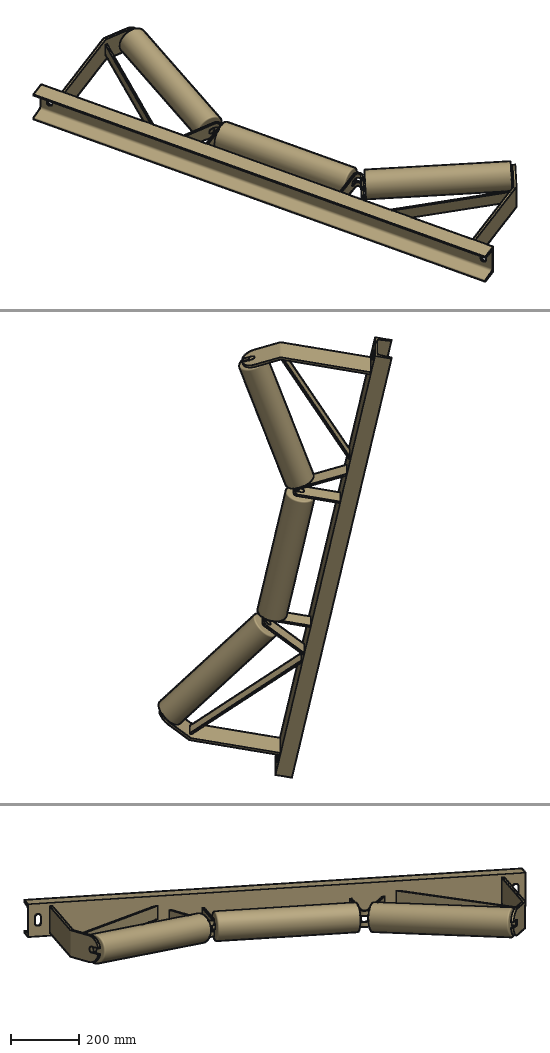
import cadquery as cq
import math


BEAM_LENGTH = 1500.0
BEAM_HEIGHT = 100.0
BEAM_DEPTH = 50.0
WEB_THICKNESS = 6.0
FLANGE_ROOT = 10.0
FLANGE_TIP = 6.8
ROOT_RADIUS = 8.0
TIP_RADIUS = 3.8
MOUNT_SLOT_LENGTH = 36.0
MOUNT_SLOT_WIDTH = 18.0
MOUNT_SLOT_INSET = 30.0

TROUGH_ANGLE = math.radians(30)
ROLLER_DIAMETER = 88.0
ROLLER_LENGTH = 430.0
ROLLER_EDGE_RADIUS = 5.0
SHAFT_DIAMETER = 18.0
CENTRE_AXIS_Y = 117.0
CENTRE_AXIS_Z = -20.0

SEAT_OVERRUN = 15.0
SEAT_DEPTH = 60.0

OUTER_HEIGHT = 81.0
OUTER_THICKNESS = 8.2
OUTER_FACE_X = 685.0
OUTER_BEND_Y = 270.0
OUTER_ARM_LENGTH = 120.0
OUTER_SEAT_DISTANCE = 90.0
OUTER_BEND_RADIUS = 2.0

INNER_HEIGHT = 50.0
INNER_THICKNESS = 6.0
INNER_FACE_X = 219.0
INNER_FOOT_X = 321.0
INNER_BEND_RADIUS = 9.0

BRACE_THICKNESS = 6.0
BRACE_HEIGHT = 40.0
BRACE_FOOT_X = 365.0
BRACE_TOP_Y = 270.0

SIN = math.sin(TROUGH_ANGLE)
COS = math.cos(TROUGH_ANGLE)

ARM = cq.Vector(SIN, COS, 0)
OUTWARD = cq.Vector(-COS, SIN, 0)

OUTER_BEND = cq.Vector(-OUTER_FACE_X, OUTER_BEND_Y, 0)
INNER_FOOT = cq.Vector(-INNER_FOOT_X, 0, 0)
OUTER_SEAT = OUTER_BEND + ARM * OUTER_SEAT_DISTANCE
LEVEL_SPAN = (OUTER_SEAT - INNER_FOOT).dot(OUTWARD) + INNER_THICKNESS / 2
INNER_SEAT = OUTER_SEAT - OUTWARD * LEVEL_SPAN + cq.Vector(0, 0, CENTRE_AXIS_Z)
WING_SHAFT = OUTER_SEAT - INNER_SEAT
WING_SPAN = WING_SHAFT.Length
WING_FRAME = cq.Plane(origin=(OUTER_SEAT + INNER_SEAT) * 0.5, xDir=ARM, normal=WING_SHAFT)

CENTRE_FRAME = cq.Plane(origin=(0, CENTRE_AXIS_Y, CENTRE_AXIS_Z), xDir=(0, 1, 0), normal=(1, 0, 0))
CENTRE_SPAN = 2 * (INNER_FACE_X + INNER_THICKNESS)


def edge_at(x, y, z):
    """Selector for the edge whose middle is nearest to a point."""
    return cq.selectors.NearestToPointSelector((x, y, z))


def make_beam():
    """C-channel with tapered flanges, opening toward -Y, and a mounting slot at each end."""
    half = BEAM_HEIGHT / 2
    outline = [
        (0, -half),
        (0, half),
        (-BEAM_DEPTH, half),
        (-BEAM_DEPTH, half - FLANGE_TIP),
        (-WEB_THICKNESS, half - FLANGE_ROOT),
        (-WEB_THICKNESS, FLANGE_ROOT - half),
        (-BEAM_DEPTH, FLANGE_TIP - half),
        (-BEAM_DEPTH, -half),
    ]
    beam = (
        cq.Workplane("YZ", origin=(-BEAM_LENGTH / 2, 0, 0))
        .polyline(outline)
        .close()
        .extrude(BEAM_LENGTH)
    )
    for side in (-1, 1):
        root = edge_at(0, -WEB_THICKNESS, side * (half - FLANGE_ROOT))
        beam = beam.edges("|X").edges(root).fillet(ROOT_RADIUS)
        tip = edge_at(0, -BEAM_DEPTH, side * (half - FLANGE_TIP))
        beam = beam.edges("|X").edges(tip).fillet(TIP_RADIUS)
    slot_x = BEAM_LENGTH / 2 - MOUNT_SLOT_INSET
    slots = (
        cq.Workplane("XZ")
        .pushPoints([(-slot_x, 0), (slot_x, 0)])
        .slot2D(MOUNT_SLOT_LENGTH, MOUNT_SLOT_WIDTH, 90)
        .extrude(BEAM_DEPTH)
    )
    return beam.cut(slots)


def make_rod(frame, diameter, length):
    """Cylinder centred on the frame, along its normal."""
    return cq.Workplane(frame).workplane(offset=-length / 2).circle(diameter / 2).extrude(length)


def make_roller(frame, shaft_span):
    """Roller with rounded end edges on a shaft that sticks out at both ends."""
    shell = make_rod(frame, ROLLER_DIAMETER, ROLLER_LENGTH).edges("%CIRCLE").fillet(ROLLER_EDGE_RADIUS)
    return shell.union(make_rod(frame, SHAFT_DIAMETER, shaft_span))


def make_seat_cutter(frame, shaft_span):
    """Both shaft seats of one roller: round at the shaft and open along the frame's X."""
    reach = shaft_span + 2 * SEAT_OVERRUN
    opening = (
        cq.Workplane(frame)
        .workplane(offset=-reach / 2)
        .center(SEAT_DEPTH / 2, 0)
        .rect(SEAT_DEPTH, SHAFT_DIAMETER)
        .extrude(reach)
    )
    return make_rod(frame, SHAFT_DIAMETER, reach).union(opening)


def make_strap(outside, inside, bend_radius, thickness, height, middle_z):
    """Upright strap with one bend; each side is given as its foot, bend corner and end."""
    strap = (
        cq.Workplane("XY", origin=(0, 0, middle_z - height / 2))
        .polyline(outside + inside[::-1])
        .close()
        .extrude(height)
    )
    for side, radius in ((outside, bend_radius + thickness), (inside, bend_radius)):
        corner = edge_at(*side[1], middle_z)
        strap = strap.edges("|Z").edges(corner).fillet(radius)
    return strap


def make_outer_bracket(seats):
    """Strap that bends toward the wing roller, with a round end and an open shaft seat."""
    tip = OUTER_BEND + ARM * OUTER_ARM_LENGTH
    inner_tip = tip - OUTWARD * OUTER_THICKNESS
    inside_x = OUTER_THICKNESS - OUTER_FACE_X
    inside_bend_y = OUTER_BEND_Y - OUTER_THICKNESS * math.tan(TROUGH_ANGLE / 2)
    strap = make_strap(
        [(-OUTER_FACE_X, 0), (-OUTER_FACE_X, OUTER_BEND_Y), (tip.x, tip.y)],
        [(inside_x, 0), (inside_x, inside_bend_y), (inner_tip.x, inner_tip.y)],
        OUTER_BEND_RADIUS,
        OUTER_THICKNESS,
        OUTER_HEIGHT,
        0,
    )
    radius = OUTER_HEIGHT / 2
    end_frame = cq.Plane(origin=inner_tip - ARM * radius, xDir=ARM, normal=OUTWARD)
    end_block = (
        cq.Workplane(end_frame)
        .center(radius / 2, 0)
        .rect(radius, OUTER_HEIGHT)
        .extrude(OUTER_THICKNESS)
    )
    end_disc = cq.Workplane(end_frame).circle(radius).extrude(OUTER_THICKNESS)
    return strap.cut(end_block.cut(end_disc)).cut(seats)


def make_inner_bracket(wing_seats, centre_seats):
    """Strap folded into an upright leg and a leaning leg, with a shaft seat in each."""
    outer_x = -INNER_FACE_X
    inner_x = outer_x - INNER_THICKNESS
    outer_foot_x = -INNER_FOOT_X - INNER_THICKNESS / 2 / COS
    inner_foot_x = -INNER_FOOT_X + INNER_THICKNESS / 2 / COS
    slope = COS / SIN
    strap = make_strap(
        [(outer_foot_x, 0), (outer_x, (outer_x - outer_foot_x) * slope), (outer_x, 0)],
        [(inner_foot_x, 0), (inner_x, (inner_x - inner_foot_x) * slope), (inner_x, 0)],
        INNER_BEND_RADIUS,
        INNER_THICKNESS,
        INNER_HEIGHT,
        CENTRE_AXIS_Z,
    )
    return strap.cut(wing_seats).cut(centre_seats)


def make_brace(outer_bracket):
    """Flat diagonal strip from the beam to the bend of the outer bracket, fitted against it."""
    top_x = OUTER_THICKNESS - OUTER_FACE_X
    angle = math.atan2(BRACE_TOP_Y, -BRACE_FOOT_X - top_x)
    foot_half_width = BRACE_THICKNESS / 2 / math.sin(angle)
    top_half_width = BRACE_THICKNESS / 2 / math.cos(angle)
    outline = [
        (-BRACE_FOOT_X - foot_half_width, 0),
        (-BRACE_FOOT_X + foot_half_width, 0),
        (top_x, BRACE_TOP_Y + top_half_width),
        (top_x, BRACE_TOP_Y - top_half_width),
    ]
    brace = (
        cq.Workplane("XY", origin=(0, 0, -BRACE_HEIGHT / 2))
        .polyline(outline)
        .close()
        .extrude(BRACE_HEIGHT)
    )
    return brace.cut(outer_bracket)


beam = make_beam()
centre_roller = make_roller(CENTRE_FRAME, CENTRE_SPAN)
wing_roller = make_roller(WING_FRAME, WING_SPAN)

wing_seats = make_seat_cutter(WING_FRAME, WING_SPAN)
centre_seats = make_seat_cutter(CENTRE_FRAME, CENTRE_SPAN)
outer_bracket = make_outer_bracket(wing_seats)
inner_bracket = make_inner_bracket(wing_seats, centre_seats)
brace = make_brace(outer_bracket)

bodies = [beam.val(), centre_roller.val()]
for left_body in (wing_roller, outer_bracket, inner_bracket, brace):
    bodies.append(left_body.val())
    bodies.append(left_body.mirror("YZ").val())

result = cq.Compound.makeCompound(bodies)